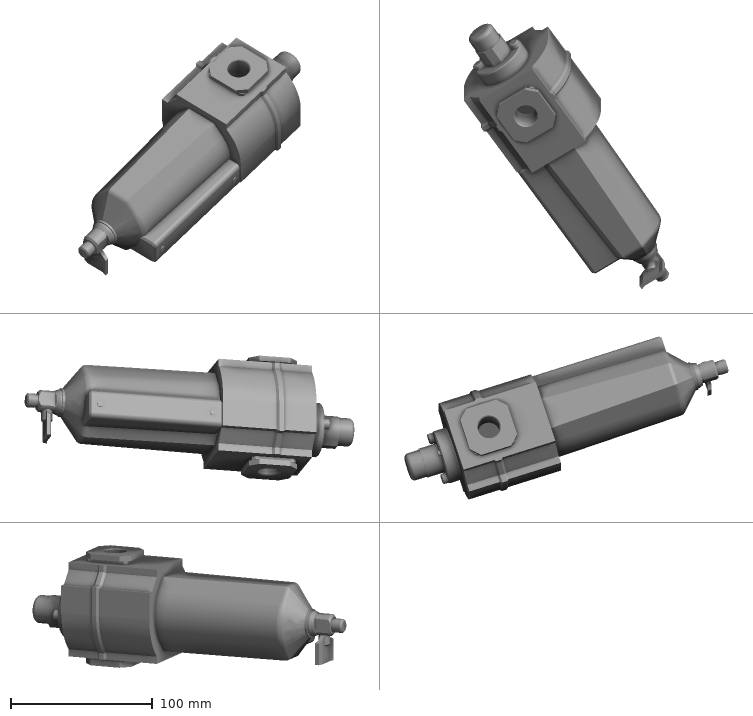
import cadquery as cq
import math


TOLERANCE = 0.02

HOUSING_TOP_Y = 25.8
HOUSING_BOTTOM_Y = -42.0
HOUSING_HALF_WIDTH = 35.5
HOUSING_HALF_HEIGHT = 33.8
FACE_HALF_WIDTH = 22.5
FACE_SIDE_Z = 28.5
SHOULDER_X = 30.5
SHOULDER_Z = 19.5

BAND_HEIGHT = 1.3
BAND_BASE_WIDTH = 6.6
BAND_TIP_WIDTH = 3.3

FLANGE_WIDTH = 35.0
FLANGE_CORNER = 6.5
FLANGE_THICKNESS = 3.8
FLANGE_OUTER_Z = 40.0
NECK_WIDTH = 31.2
NECK_CORNER = 2.0
PORT_RADIUS = 7.8
PORT_CHAMFER = 0.7
PORT_DEPTH = 19.0

CAP_Z = -6.5
CAP_RADIUS = 19.2
CAP_TOP_Y = 36.0
CAP_CHAMFER = 1.0
STEM_RADIUS = 10.6
STEM_TOP_Y = 48.7
STEM_FOOT_REACH = 11.8
KNOB_RADIUS = 10.0
KNOB_TOP_Y = 60.0
KNOB_FILLET = 3.0
SCREW_RADIUS = 3.8
SCREW_HEIGHT = 3.8
SCREW_CHAMFER = 0.7
SCREW_OFFSET = 15.1
PIN_RADIUS = 2.0
PIN_HEIGHT = 1.5
PIN_OFFSET = 13.7

BOWL_TOP_SECTION = (11.0, 26.7, 19.6, 17.5, 26.0)
BOWL_EDGE_SECTION = (8.0, 26.7, 17.3, 16.3, 23.9)
BOWL_END_SECTION = (3.0, 10.2, 7.5, 7.0, 10.0)
BOWL_EDGE_Y = -137.0
CONE_END_Y = -150.4
BOWL_EDGE_FILLET = 4.7
BOWL_NECK_RADIUS = 10.2
BOWL_END_Y = -152.0

GAUGE_INNER_X = 9.5
GAUGE_OUTER_X = 35.5
GAUGE_TOP_Z = 0.0
GAUGE_BOTTOM_Z = -20.3
GAUGE_END_Y = -139.0
GAUGE_EDGE_FILLET = 3.5
GAUGE_END_CHAMFER = 1.5
STUD_RADIUS = 2.25
STUD_HEIGHT = 0.7
STUD_YS = (-49.5, -131.2)

COLLAR_RADIUS = 9.2
COLLAR_END_Y = -156.3
COLLAR_CHAMFER_LENGTH = 2.8
COLLAR_CHAMFER_DEPTH = 1.2
VALVE_START_Y = -157.5
VALVE_RADIUS = 7.8
VALVE_FLAT_X = 6.1
VALVE_NECK_FLAT_X = 5.7
VALVE_END_Y = -168.3
VALVE_CHAMFER = 1.5
SPOUT_RADIUS = 5.0
SPOUT_START_Y = -170.2
SPOUT_NECK_RADIUS = 4.7
SPOUT_END_Y = -176.5
SPOUT_CHAMFER = 1.0
SHAFT_Y = -161.3
SHAFT_RADIUS = 4.0
SHAFT_END_Z = -15.1
SHAFT_CHAMFER = 1.2

WING_HALF_WIDTH = 10.5
WING_BEND_X = 6.9
WING_BEND = 1.2
WING_THICKNESS = 2.8
WING_BOTTOM_Z = -27.5
WING_TIP_Z = -11.8
WING_BEND_Z = -10.2
WING_PEAK_Z = -7.3


def across(y, z=0):
    """Workplane across the long axis; it extrudes towards -Y."""
    return cq.Workplane("XZ", origin=(0, y, z))


def disc(radius, start_y, end_y, z=0):
    """Round bar from start_y down to end_y."""
    return across(start_y, z).circle(radius).extrude(start_y - end_y)


def housing_outline(y):
    """Outline of the housing, the same when turned half a turn about Y."""
    w, h = HOUSING_HALF_WIDTH, HOUSING_HALF_HEIGHT
    f, s = FACE_HALF_WIDTH, FACE_SIDE_Z
    arc_radius = ((w - f) ** 2 + s**2) / (2 * (w - f))
    half_angle = math.asin(s / arc_radius) / 2
    mid_x = w - arc_radius * (1 - math.cos(half_angle))
    mid_z = arc_radius * math.sin(half_angle)
    return (
        across(y)
        .moveTo(-f, h)
        .lineTo(f, h)
        .lineTo(f, s)
        .threePointArc((mid_x, mid_z), (w, 0))
        .lineTo(w, -SHOULDER_Z)
        .lineTo(SHOULDER_X, -SHOULDER_Z)
        .lineTo(f, -s)
        .lineTo(f, -h)
        .lineTo(-f, -h)
        .lineTo(-f, -s)
        .threePointArc((-mid_x, -mid_z), (-w, 0))
        .lineTo(-w, SHOULDER_Z)
        .lineTo(-SHOULDER_X, SHOULDER_Z)
        .lineTo(-f, s)
        .close()
    )


def make_band():
    """Bead with sloping flanks, cut level with the two port faces."""
    slope = (BAND_BASE_WIDTH - BAND_TIP_WIDTH) / 2
    band = (
        housing_outline(BAND_BASE_WIDTH / 2)
        .offset2D(BAND_HEIGHT, "intersection")
        .extrude(BAND_BASE_WIDTH)
        .faces("<Y or >Y")
        .chamfer(slope, BAND_HEIGHT)
    )
    slab = cq.Workplane().box(3 * HOUSING_HALF_WIDTH, BAND_BASE_WIDTH, 2 * HOUSING_HALF_HEIGHT)
    return band.intersect(slab)


def octagon_block(width, corner, bottom_z, top_z):
    """Square block round the port axis with its corners cut off."""
    return (
        cq.Workplane(origin=(0, 0, bottom_z))
        .rect(width, width)
        .extrude(top_z - bottom_z)
        .edges("|Z")
        .chamfer(corner)
    )


def make_top_port():
    flange_z = FLANGE_OUTER_Z - FLANGE_THICKNESS
    neck = octagon_block(NECK_WIDTH, NECK_CORNER, HOUSING_HALF_HEIGHT, flange_z)
    flange = octagon_block(FLANGE_WIDTH, FLANGE_CORNER, flange_z, FLANGE_OUTER_Z)
    return neck.union(flange)


def make_top_port_hole():
    mouth = cq.Workplane(origin=(0, 0, FLANGE_OUTER_Z))
    bore = mouth.circle(PORT_RADIUS).extrude(-PORT_DEPTH)
    entry = (
        mouth.circle(PORT_RADIUS + PORT_CHAMFER)
        .workplane(offset=-PORT_CHAMFER)
        .circle(PORT_RADIUS)
        .loft()
    )
    return bore.union(entry)


def make_housing():
    block = housing_outline(HOUSING_TOP_Y).extrude(HOUSING_TOP_Y - HOUSING_BOTTOM_Y)
    block = block.union(make_band())
    port = make_top_port()
    hole = make_top_port_hole()
    block = block.union(port).union(port.mirror("XY"))
    return block.cut(hole).cut(hole.mirror("XY"))


def make_stem():
    """Round stem whose underside runs down in two 45 degree flanks to a flat foot."""
    tangent = STEM_RADIUS * math.sqrt(0.5)
    apex = STEM_RADIUS * math.sqrt(2)
    foot_half_width = apex - STEM_FOOT_REACH
    length = STEM_TOP_Y - CAP_TOP_Y
    return (
        across(STEM_TOP_Y, CAP_Z)
        .moveTo(-foot_half_width, -STEM_FOOT_REACH)
        .lineTo(foot_half_width, -STEM_FOOT_REACH)
        .lineTo(tangent, -tangent)
        .threePointArc((0, STEM_RADIUS), (-tangent, -tangent))
        .close()
        .extrude(length)
    )


def make_cap():
    cap = disc(CAP_RADIUS, CAP_TOP_Y, HOUSING_TOP_Y, CAP_Z).faces(">Y").chamfer(CAP_CHAMFER)
    cap = cap.union(make_stem())
    knob = disc(KNOB_RADIUS, KNOB_TOP_Y, STEM_TOP_Y, CAP_Z).faces(">Y").edges().fillet(KNOB_FILLET)
    cap = cap.union(knob)
    screw = disc(SCREW_RADIUS, CAP_TOP_Y + SCREW_HEIGHT, CAP_TOP_Y - CAP_CHAMFER, CAP_Z)
    screw = screw.faces(">Y").chamfer(SCREW_CHAMFER)
    for side in (-1, 1):
        cap = cap.union(screw.translate((side * SCREW_OFFSET, 0, 0)))
    pin = disc(PIN_RADIUS, CAP_TOP_Y + PIN_HEIGHT, CAP_TOP_Y, CAP_Z + PIN_OFFSET)
    return cap.union(pin)


def bowl_wire(section, y):
    """Flat top and bottom, sloping corners and round sides."""
    flat_x, flat_z, corner_x, corner_z, side_x = section
    return (
        across(y)
        .moveTo(-flat_x, flat_z)
        .lineTo(flat_x, flat_z)
        .lineTo(corner_x, corner_z)
        .threePointArc((side_x, 0), (corner_x, -corner_z))
        .lineTo(flat_x, -flat_z)
        .lineTo(-flat_x, -flat_z)
        .lineTo(-corner_x, -corner_z)
        .threePointArc((-side_x, 0), (-corner_x, corner_z))
        .close()
        .val()
    )


def make_bowl():
    top = bowl_wire(BOWL_TOP_SECTION, HOUSING_BOTTOM_Y)
    edge = bowl_wire(BOWL_EDGE_SECTION, BOWL_EDGE_Y)
    end = bowl_wire(BOWL_END_SECTION, CONE_END_Y)
    shell = cq.Workplane(cq.Solid.makeLoft([top, edge, end], True))
    edge_ring = [e for e in shell.edges().vals() if abs(e.Center().y - BOWL_EDGE_Y) < TOLERANCE]
    shell = shell.newObject(edge_ring).fillet(BOWL_EDGE_FILLET)
    return shell.union(disc(BOWL_NECK_RADIUS, CONE_END_Y, BOWL_END_Y))


def make_sight_gauge(bowl):
    gauge = cq.Workplane(origin=(GAUGE_INNER_X, GAUGE_END_Y, GAUGE_BOTTOM_Z)).box(
        GAUGE_OUTER_X - GAUGE_INNER_X,
        HOUSING_BOTTOM_Y - GAUGE_END_Y,
        GAUGE_TOP_Z - GAUGE_BOTTOM_Z,
        centered=False,
    )
    gauge = gauge.edges("|Y and >X").fillet(GAUGE_EDGE_FILLET)
    gauge = gauge.faces("<Y or >Y").chamfer(GAUGE_END_CHAMFER)
    mid_z = (GAUGE_TOP_Z + GAUGE_BOTTOM_Z) / 2
    for y in STUD_YS:
        stud_base = cq.Workplane("YZ", origin=(GAUGE_OUTER_X, y, mid_z))
        stud = stud_base.circle(STUD_RADIUS).extrude(STUD_HEIGHT)
        gauge = gauge.union(stud)
    return gauge.cut(bowl)


def make_wing():
    """Plate whose two tips bend opposite ways, with a top that slopes up to the shaft."""
    half = WING_THICKNESS / 2
    plan = [
        (-WING_HALF_WIDTH, half + WING_BEND),
        (-WING_BEND_X, half),
        (WING_BEND_X, half),
        (WING_HALF_WIDTH, half - WING_BEND),
    ]
    plan += [(-x, -y) for x, y in plan]
    plate = (
        cq.Workplane(origin=(0, SHAFT_Y, WING_BOTTOM_Z))
        .polyline(plan)
        .close()
        .extrude(WING_PEAK_Z - WING_BOTTOM_Z)
    )
    face = (
        across(SHAFT_Y)
        .moveTo(-WING_HALF_WIDTH, WING_BOTTOM_Z)
        .lineTo(WING_HALF_WIDTH, WING_BOTTOM_Z)
        .lineTo(WING_HALF_WIDTH, WING_TIP_Z)
        .lineTo(WING_BEND_X, WING_BEND_Z)
        .lineTo(SHAFT_RADIUS, WING_PEAK_Z)
        .lineTo(-SHAFT_RADIUS, WING_PEAK_Z)
        .lineTo(-WING_BEND_X, WING_BEND_Z)
        .lineTo(-WING_HALF_WIDTH, WING_TIP_Z)
        .close()
        .extrude(WING_THICKNESS + 2 * WING_BEND, both=True)
    )
    return plate.intersect(face)


def flatted_bar(start_y, end_y, flat_x, chamfer=0):
    """Length of the round valve with flats on its two sides, its far end chamfered if asked."""
    bar = disc(VALVE_RADIUS, start_y, end_y)
    if chamfer:
        bar = bar.faces("<Y").chamfer(chamfer)
    flats = across(start_y).rect(2 * flat_x, 2 * VALVE_RADIUS).extrude(start_y - end_y)
    return bar.intersect(flats)


def make_drain():
    collar = disc(COLLAR_RADIUS, BOWL_END_Y, COLLAR_END_Y)
    collar = collar.faces("<Y").chamfer(COLLAR_CHAMFER_LENGTH, COLLAR_CHAMFER_DEPTH)
    valve_neck = flatted_bar(COLLAR_END_Y, VALVE_START_Y, VALVE_NECK_FLAT_X)
    valve = flatted_bar(VALVE_START_Y, VALVE_END_Y, VALVE_FLAT_X, VALVE_CHAMFER)
    spout_neck = disc(SPOUT_NECK_RADIUS, VALVE_END_Y, SPOUT_START_Y)
    spout = disc(SPOUT_RADIUS, SPOUT_START_Y, SPOUT_END_Y).faces("<Y").chamfer(SPOUT_CHAMFER)
    shaft = cq.Workplane(origin=(0, SHAFT_Y, 0)).circle(SHAFT_RADIUS).extrude(SHAFT_END_Z)
    shaft = shaft.faces("<Z").chamfer(SHAFT_CHAMFER)
    drain = collar
    for piece in (valve_neck, valve, spout_neck, spout, shaft, make_wing()):
        drain = drain.union(piece)
    return drain


housing = make_housing()
cap = make_cap()
bowl = make_bowl()
sight_gauge = make_sight_gauge(bowl)
drain = make_drain()

result = cq.Compound.makeCompound(
    [housing.val(), cap.val(), bowl.val(), sight_gauge.val(), drain.val()]
)